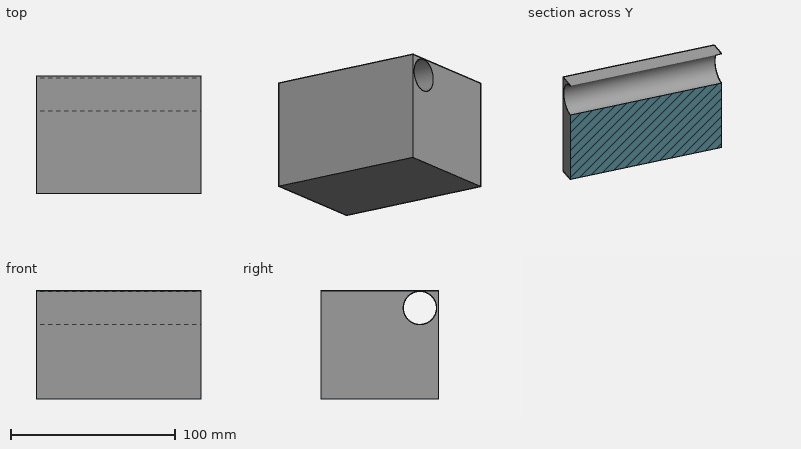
import cadquery as cq

length_x = 99.98
width_y = 71.6
height_z = 65.91

hole_diameter = 20.08
hole_from_back = 11.4
hole_from_top = 10.55


def make_block():
    """Rectangular block centred on the origin."""
    return cq.Workplane("XY").box(length_x, width_y, height_z)


def make_hole_cutter():
    """Cylinder along X spanning the full block length."""
    hole_y = width_y / 2 - hole_from_back
    hole_z = height_z / 2 - hole_from_top
    return (
        cq.Workplane("YZ")
        .center(hole_y, hole_z)
        .circle(hole_diameter / 2)
        .extrude(length_x / 2, both=True)
    )


result = make_block().cut(make_hole_cutter())